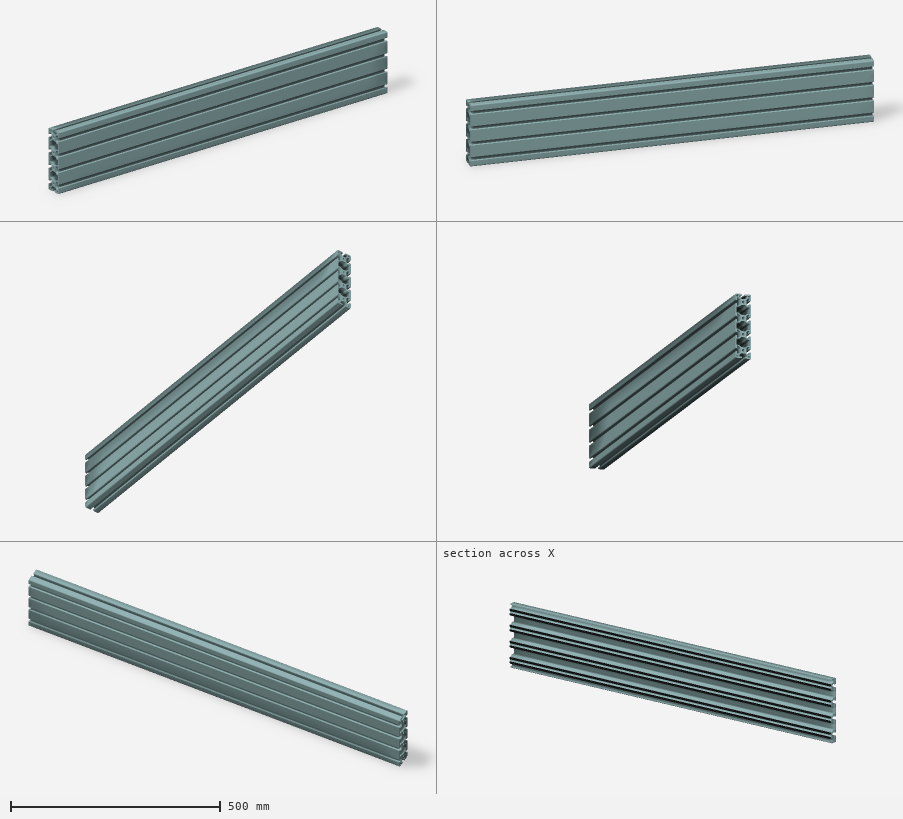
import cadquery as cq

LENGTH = 1000.0
WIDTH = 40.0
HEIGHT = 160.0
CORNER_RADIUS = 3.0

CELL = WIDTH
HALF_CELL = CELL / 2
CELL_COUNT = round(HEIGHT / CELL)
WALL = 3.0
HALF_INSIDE_WIDTH = HALF_CELL - WALL

CORE_HALF = 7.5
CORE_FLAT_HALF = 5.4
WEB_OFFSET = CORE_HALF - CORE_FLAT_HALF
BEND_RADIUS = 5.0

END_BORE = 6.8
SECOND_BORE = 6.8
THIRD_BORE = 7.0
BORE_DIAMETERS = [END_BORE, SECOND_BORE, THIRD_BORE, END_BORE]

MOUTH_HALF = 3.8
MOUTH_CHAMFER = 1.2
LIP_THICKNESS = 4.0
SLOT_HALF = 10.0
SLOT_SHOULDER = SLOT_HALF + WEB_OFFSET
LIP_INNER = HALF_CELL - LIP_THICKNESS

WALL_CORNER_RADIUS = 1.0
CROSS_WALL = 2.3
CHAMBER_HALF = HALF_CELL - SLOT_HALF - CROSS_WALL
CHAMBER_SHOULDER = SLOT_HALF + CROSS_WALL - WEB_OFFSET

HOLLOW_INSET = 3.0
HOLLOW_SIDE = 4.9
HOLLOW_STEP = 2.0

core_heights = [CELL * (i - (CELL_COUNT - 1) / 2) for i in range(CELL_COUNT)]
TOP_CORE = core_heights[-1]


def prism(outline):
    """Solid over the full length from a closed (x, z) outline."""
    return cq.Workplane("XZ", origin=(0, LENGTH / 2, 0)).polyline(outline).close().extrude(LENGTH)


def with_mirror(half_outline):
    """Closed outline from the half on the +X side."""
    return half_outline + [(-x, z) for x, z in reversed(half_outline)]


def round_corners(body, corners, radius):
    """Fillet the lengthwise edges at the given (x, z) corners and their mirror images in X."""
    for x, z in with_mirror(corners):
        nearest = cq.selectors.NearestToPointSelector((x, 0, z))
        body = body.edges("|Y").edges(nearest).fillet(radius)
    return body


def make_slot():
    """T-slot of a core at the origin, opening towards +Z."""
    web_corners = [(CORE_FLAT_HALF, CORE_HALF), (SLOT_HALF, SLOT_SHOULDER)]
    lip = [
        (SLOT_HALF, LIP_INNER),
        (MOUTH_HALF, LIP_INNER),
        (MOUTH_HALF, HALF_CELL - MOUTH_CHAMFER),
        (MOUTH_HALF + MOUTH_CHAMFER, HALF_CELL),
    ]
    return round_corners(prism(with_mirror(web_corners + lip)), web_corners, BEND_RADIUS)


def make_chamber():
    """Chamber centred on the origin, between one core above and one below."""
    wall_corner = (HALF_INSIDE_WIDTH, CHAMBER_HALF)
    web_corners = [(CHAMBER_SHOULDER, CHAMBER_HALF), (CORE_FLAT_HALF, HALF_CELL - CORE_HALF)]

    def flipped(corners):
        return [(x, -z) for x, z in reversed(corners)]

    upper = [wall_corner] + web_corners
    chamber = prism(with_mirror(flipped(upper) + upper))
    chamber = round_corners(chamber, flipped(web_corners) + web_corners, BEND_RADIUS)
    return round_corners(chamber, flipped([wall_corner]) + [wall_corner], WALL_CORNER_RADIUS)


def make_corner_hollow(side, end):
    """Hollow in the corner given by the signs of X (side) and Z (end)."""
    x = WIDTH / 2 - HOLLOW_INSET
    z = HEIGHT / 2 - HOLLOW_INSET
    outline = [
        (x, z),
        (x - HOLLOW_SIDE, z),
        (x - HOLLOW_SIDE, z - HOLLOW_STEP),
        (x - HOLLOW_STEP, z - HOLLOW_SIDE),
        (x, z - HOLLOW_SIDE),
    ]
    return prism([(side * px, end * pz) for px, pz in outline])


def make_bore(core_z, diameter):
    """Round hole through the full length of one core."""
    return cq.Workplane("XZ", origin=(0, LENGTH / 2, core_z)).circle(diameter / 2).extrude(LENGTH)


def turned(body, angle):
    """Body rotated about the Y axis."""
    return body.rotate((0, 0, 0), (0, 1, 0), angle)


result = cq.Workplane("XY").box(WIDTH, LENGTH, HEIGHT).edges("|Y").fillet(CORNER_RADIUS)

slot = make_slot()
for core_z, diameter in zip(core_heights, BORE_DIAMETERS):
    result = result.cut(make_bore(core_z, diameter))
    for angle in (90, -90):
        result = result.cut(turned(slot, angle).translate((0, 0, core_z)))

for angle in (0, 180):
    result = result.cut(turned(slot.translate((0, 0, TOP_CORE)), angle))

chamber = make_chamber()
for core_z in core_heights[:-1]:
    result = result.cut(chamber.translate((0, 0, core_z + HALF_CELL)))

for side in (1, -1):
    for end in (1, -1):
        result = result.cut(make_corner_hollow(side, end))